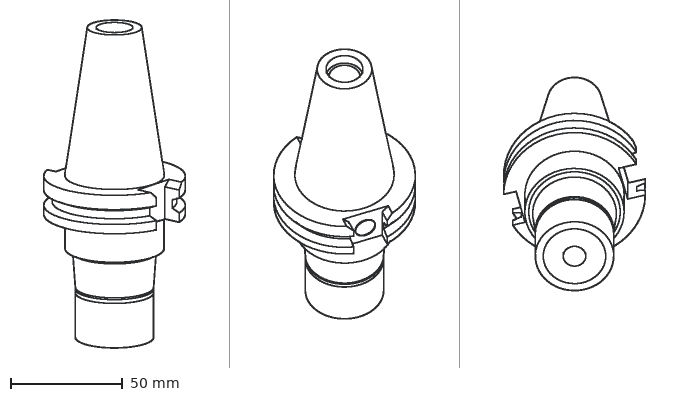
import cadquery as cq

TOTAL_HEIGHT = 144.5

NUT_RADIUS = 17.6
NUT_BODY_HEIGHT = 20.8
NUT_LIP_HEIGHT = 1.7
NUT_LIP_STEP = 0.07
NUT_GAP = 0.9
NUT_TOP_Z = NUT_BODY_HEIGHT + NUT_LIP_HEIGHT

NECK_RADIUS = 14.0
SHOULDER_Z = NUT_TOP_Z + NUT_GAP
NOSE_TOP_RADIUS = 18.8
NOSE_TOP_Z = 39.6
NOSE_FLARE = 1.7
BODY_RADIUS = 22.2
BODY_BOTTOM_Z = NOSE_TOP_Z + NOSE_FLARE

FLANGE_RADIUS = 31.8
FLANGE_BOTTOM_Z = 57.3
FLANGE_TOP_Z = 75.3
GROOVE_FLOOR_RADIUS = 28.0
GROOVE_CENTRE_Z = 65.1
GROOVE_FLOOR_WIDTH = 3.8
GROOVE_MOUTH_WIDTH = 7.0

TAPER_BOTTOM_Z = 76.5
TAPER_TOP_RADIUS = 12.3

SLOT_WIDTH = 16.2
SLOT_CHAMFER = 2.9
LEFT_SLOT_FLOOR_X = -25.0
RIGHT_SLOT_FLOOR_X = 22.5

RECESS_RADIUS = 4.8
RECESS_DEPTH = 0.5

THROUGH_BORE_RADIUS = 5.0
BORE_STEPS = [
    (8.2, 4.9),
    (7.0, 28.9),
    (5.9, 57.8),
]


def make_turned_holder():
    """Revolved outside of the holder, from the neck up to the taper."""
    profile = [
        (0, 0),
        (NECK_RADIUS, 0),
        (NECK_RADIUS, SHOULDER_Z),
        (NUT_RADIUS, SHOULDER_Z),
        (NOSE_TOP_RADIUS, NOSE_TOP_Z),
        (NOSE_TOP_RADIUS + NOSE_FLARE, BODY_BOTTOM_Z),
        (BODY_RADIUS, BODY_BOTTOM_Z),
        (BODY_RADIUS, FLANGE_BOTTOM_Z),
        (FLANGE_RADIUS, FLANGE_BOTTOM_Z),
        (FLANGE_RADIUS, GROOVE_CENTRE_Z - GROOVE_MOUTH_WIDTH / 2),
        (GROOVE_FLOOR_RADIUS, GROOVE_CENTRE_Z - GROOVE_FLOOR_WIDTH / 2),
        (GROOVE_FLOOR_RADIUS, GROOVE_CENTRE_Z + GROOVE_FLOOR_WIDTH / 2),
        (FLANGE_RADIUS, GROOVE_CENTRE_Z + GROOVE_MOUTH_WIDTH / 2),
        (FLANGE_RADIUS, FLANGE_TOP_Z),
        (BODY_RADIUS, FLANGE_TOP_Z),
        (BODY_RADIUS, TAPER_BOTTOM_Z),
        (TAPER_TOP_RADIUS, TOTAL_HEIGHT),
        (0, TOTAL_HEIGHT),
    ]
    return cq.Workplane("XZ").polyline(profile).close().revolve(360, (0, 0, 0), (0, 1, 0))


def make_slot_cutter(floor_x, end_x):
    """Slot section with a chamfered mouth, extruded outward along X."""
    half_width = SLOT_WIDTH / 2
    mouth_half_width = half_width + SLOT_CHAMFER
    section = [
        (-half_width, FLANGE_BOTTOM_Z),
        (half_width, FLANGE_BOTTOM_Z),
        (half_width, FLANGE_TOP_Z - SLOT_CHAMFER),
        (mouth_half_width, FLANGE_TOP_Z),
        (-mouth_half_width, FLANGE_TOP_Z),
        (-half_width, FLANGE_TOP_Z - SLOT_CHAMFER),
    ]
    plane = cq.Workplane("YZ", origin=(floor_x, 0, 0))
    return plane.polyline(section).close().extrude(end_x - floor_x)


def make_recess_cutter():
    """Disc sunk into the floor of the -X slot."""
    plane = cq.Workplane("YZ", origin=(LEFT_SLOT_FLOOR_X, 0, GROOVE_CENTRE_Z))
    return plane.circle(RECESS_RADIUS).extrude(RECESS_DEPTH)


def make_bore_cutter():
    """Through bore with wider steps entering from the top face."""
    cutter = cq.Workplane("XY").circle(THROUGH_BORE_RADIUS).extrude(TOTAL_HEIGHT)
    for radius, depth in BORE_STEPS:
        step = cq.Workplane("XY", origin=(0, 0, TOTAL_HEIGHT)).circle(radius).extrude(-depth)
        cutter = cutter.union(step)
    return cutter


def make_holder():
    """Taper shank, flange, body and neck in one piece."""
    holder = make_turned_holder()
    holder = holder.cut(make_slot_cutter(LEFT_SLOT_FLOOR_X, -FLANGE_RADIUS))
    holder = holder.cut(make_slot_cutter(RIGHT_SLOT_FLOOR_X, FLANGE_RADIUS))
    holder = holder.cut(make_recess_cutter())
    return holder.cut(make_bore_cutter())


def make_nut():
    """Ring around the neck with a slightly smaller lip on top."""
    body = cq.Workplane("XY").circle(NUT_RADIUS).extrude(NUT_BODY_HEIGHT)
    lip = cq.Workplane("XY").circle(NUT_RADIUS - NUT_LIP_STEP).extrude(NUT_TOP_Z)
    neck_hole = cq.Workplane("XY").circle(NECK_RADIUS).extrude(NUT_TOP_Z)
    return body.union(lip).cut(neck_hole)


holder = make_holder()
nut = make_nut()

result = cq.Compound.makeCompound([*holder.solids().vals(), *nut.solids().vals()])